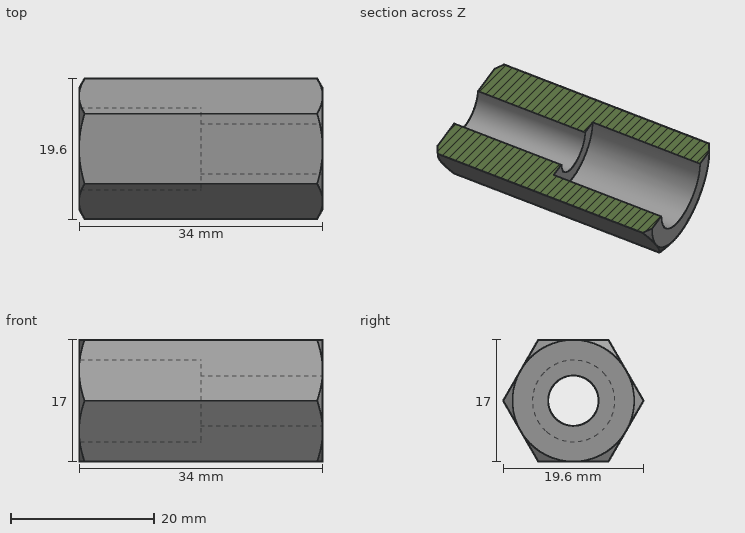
import cadquery as cq
import math

length = 34.0
across_flats = 17.0
large_bore_diameter = 11.45
small_bore_diameter = 7.0
large_bore_depth = length / 2
chamfer_angle = 30.0

across_corners = across_flats / math.cos(math.radians(30))
half_length = length / 2
end_face_radius = across_flats / 2
corner_radius = across_corners / 2
chamfer_length = (corner_radius - end_face_radius) * math.tan(math.radians(chamfer_angle))


def hexagonal_bar():
    """Hexagonal prism with corners on +Y and -Y and flats on +Z and -Z."""
    return (
        cq.Workplane("YZ", origin=(-half_length, 0, 0))
        .polygon(6, across_corners)
        .extrude(length)
    )


def chamfer_envelope():
    """Round bar with conical ends that trims the hexagon corners."""
    shoulder = half_length - chamfer_length
    return (
        cq.Workplane("XY")
        .moveTo(-half_length, 0)
        .lineTo(-half_length, end_face_radius)
        .lineTo(-shoulder, corner_radius)
        .lineTo(shoulder, corner_radius)
        .lineTo(half_length, end_face_radius)
        .lineTo(half_length, 0)
        .close()
        .revolve(360, (0, 0, 0), (1, 0, 0))
    )


def bore(diameter, depth):
    """Cylinder running inward along X from the -X end face."""
    return cq.Workplane("YZ", origin=(-half_length, 0, 0)).circle(diameter / 2).extrude(depth)


result = (
    hexagonal_bar()
    .intersect(chamfer_envelope())
    .cut(bore(large_bore_diameter, large_bore_depth))
    .cut(bore(small_bore_diameter, length))
)